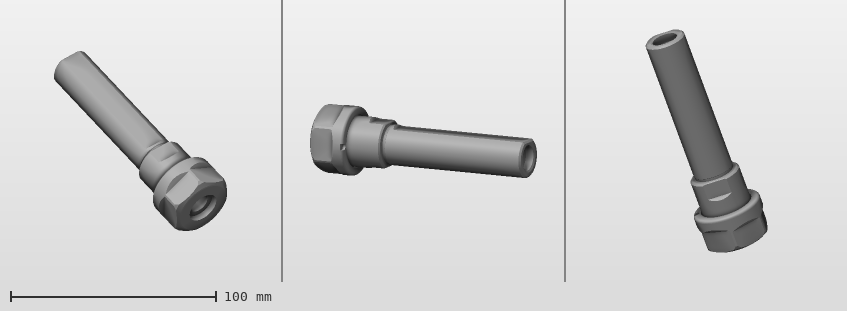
import cadquery as cq
import math

TOTAL_LENGTH = 111.4
SHOULDER_X = 74.7
NUT_REAR_X = 92.3

STEM_DIA = 20.0
STEM_CHAMFER = 0.9
HEAD_DIA = 25.0
HEAD_CHAMFER = 0.72
HEAD_END_X = 108.1
GROOVE_DIA = 19.4
GROOVE_START_X = 72.8
GROOVE_TAPER = 0.28
GROOVE_EXIT_DIA = 20.6

BORE_DIA = 10.0
COUNTERBORE_DIA = 12.5
COUNTERBORE_END_X = 4.6
MOUTH_DIA = 14.5
MOUTH_DEPTH = 0.6

STEM_FLAT_Z = 8.52
STEM_FLAT_END_X = 70.3
WRENCH_FLAT_Z = 10.9
WRENCH_FLAT_END_X = 82.9
WRENCH_FLAT_BEVEL = 0.3

NUT_DIA = 34.0
NUT_REAR_FILLET = 1.5
HEX_ACROSS_FLATS = 30.0
HEX_START_X = 100.4
HEX_START_SHIFT = 1.0
CORNER_BEVEL_X = 108.1
NOSE_START_X = 109.8
NOSE_START_DIA = 32.5
NOSE_RIM_X = 111.2
NOSE_RIM_DIA = 28.1
NOSE_FACE_DIA = 27.0
NUT_MOUTH_DIA = 26.0
NUT_MOUTH_DEPTH = 2.2
NUT_FRONT_HOLE_DIA = 15.9
NOTCH_WIDTH = 3.1
NOTCH_LENGTH = 3.2
NOTCH_DEPTH = 1.5

CUT_MARGIN = 5.6


def revolve_profile(points):
    """Revolve (x, diameter) points, closed along the X axis."""
    outline = [(x, diameter / 2) for x, diameter in points]
    outline = [(points[0][0], 0)] + outline + [(points[-1][0], 0)]
    return cq.Workplane("XY").polyline(outline).close().revolve(360, (0, 0, 0), (1, 0, 0))


def flat_cutter(start_x, end_x, flat_height, outer_radius, angle=0, ramp_at_start=False):
    """Cutter for a flat facing +Z, turned about X, with a 45 degree ramp at one end."""
    top = outer_radius + CUT_MARGIN
    rise = top - flat_height
    start_top_x = start_x - rise if ramp_at_start else start_x
    end_top_x = end_x if ramp_at_start else end_x + rise
    outline = [(start_x, flat_height), (end_x, flat_height), (end_top_x, top), (start_top_x, top)]
    cutter = cq.Workplane("XZ").polyline(outline).close().extrude(outer_radius, both=True)
    return cutter.rotate((0, 0, 0), (1, 0, 0), angle)


def make_shank():
    body = revolve_profile([
        (0, STEM_DIA),
        (GROOVE_START_X, STEM_DIA),
        (GROOVE_START_X + GROOVE_TAPER, GROOVE_DIA),
        (SHOULDER_X - GROOVE_TAPER, GROOVE_DIA),
        (SHOULDER_X, GROOVE_EXIT_DIA),
        (SHOULDER_X, HEAD_DIA - 2 * HEAD_CHAMFER),
        (SHOULDER_X + HEAD_CHAMFER, HEAD_DIA),
        (HEAD_END_X, HEAD_DIA),
    ])

    body = body.cut(flat_cutter(-CUT_MARGIN, STEM_FLAT_END_X, STEM_FLAT_Z, STEM_DIA / 2))
    body = body.faces("<X").chamfer(STEM_CHAMFER)

    for angle in (0, 180):
        body = body.cut(
            flat_cutter(SHOULDER_X, WRENCH_FLAT_END_X, WRENCH_FLAT_Z, HEAD_DIA / 2, angle)
        )
    shoulder_zone = cq.selectors.BoxSelector(
        (SHOULDER_X - WRENCH_FLAT_BEVEL, -HEAD_DIA, -HEAD_DIA),
        (SHOULDER_X + WRENCH_FLAT_BEVEL, HEAD_DIA, HEAD_DIA),
    )
    body = body.edges(shoulder_zone).edges("|Y").chamfer(WRENCH_FLAT_BEVEL)

    step_length = (COUNTERBORE_DIA - BORE_DIA) / 2
    bore = revolve_profile([
        (0, MOUTH_DIA),
        (MOUTH_DEPTH, COUNTERBORE_DIA),
        (COUNTERBORE_END_X, COUNTERBORE_DIA),
        (COUNTERBORE_END_X + step_length, BORE_DIA),
        (HEAD_END_X, BORE_DIA),
    ])
    return body.cut(bore)


def make_notch_cutter():
    """Round-tipped radial notch in the rear face on the +Y side."""
    tip_center_y = NUT_DIA / 2 - NOTCH_LENGTH + NOTCH_WIDTH / 2
    outer_y = NUT_DIA / 2 + CUT_MARGIN
    half_width = NOTCH_WIDTH / 2
    return (
        cq.Workplane("YZ", origin=(NUT_REAR_X, 0, 0))
        .moveTo(outer_y, -half_width)
        .lineTo(tip_center_y, -half_width)
        .threePointArc((tip_center_y - half_width, 0), (tip_center_y, half_width))
        .lineTo(outer_y, half_width)
        .close()
        .extrude(NOTCH_DEPTH)
    )


def make_nut():
    body = revolve_profile([
        (NUT_REAR_X, NUT_DIA),
        (CORNER_BEVEL_X, NUT_DIA),
        (NOSE_START_X, NOSE_START_DIA),
        (NOSE_RIM_X, NOSE_RIM_DIA),
        (TOTAL_LENGTH, NOSE_FACE_DIA),
    ])
    body = body.faces("<X").edges().fillet(NUT_REAR_FILLET)

    for angle in range(30, 360, 60):
        faces_plus_y = math.sin(math.radians(angle)) < 0
        start_x = HEX_START_X - HEX_START_SHIFT if faces_plus_y else HEX_START_X
        body = body.cut(
            flat_cutter(
                start_x, TOTAL_LENGTH + CUT_MARGIN, HEX_ACROSS_FLATS / 2, NUT_DIA / 2,
                angle, ramp_at_start=True,
            )
        )

    socket = revolve_profile([
        (NUT_REAR_X, NUT_MOUTH_DIA),
        (NUT_REAR_X + NUT_MOUTH_DEPTH, NUT_MOUTH_DIA),
        (NUT_REAR_X + NUT_MOUTH_DEPTH, HEAD_DIA),
        (HEAD_END_X, HEAD_DIA),
        (HEAD_END_X, NUT_FRONT_HOLE_DIA),
        (TOTAL_LENGTH, NUT_FRONT_HOLE_DIA),
    ])
    return body.cut(socket).cut(make_notch_cutter())


shank = make_shank()
nut = make_nut()

result = cq.Compound.makeCompound([shank.val(), nut.val()])